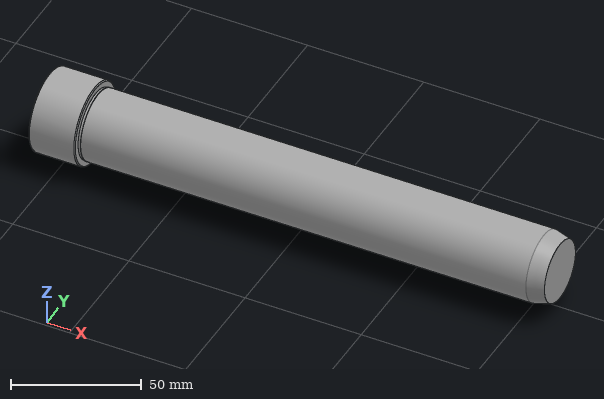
import cadquery as cq
import math

total_length = 220.0
head_diameter = 35.0
head_length = 20.0
head_edge_chamfer = 0.5
shank_diameter = 30.0
relief_depth = 0.2
relief_width = 1.0
tip_length = 7.0
tip_angle = 15.0

head_radius = head_diameter / 2
shank_radius = shank_diameter / 2
relief_radius = shank_radius - relief_depth
tip_radius = shank_radius - tip_length * math.tan(math.radians(tip_angle))

head_end = -total_length / 2
tip_end = total_length / 2
shoulder = head_end + head_length
relief_end = shoulder + relief_width

half_profile = (
    cq.Workplane("XY")
    .moveTo(head_end, 0)
    .lineTo(head_end, head_radius - head_edge_chamfer)
    .lineTo(head_end + head_edge_chamfer, head_radius)
    .lineTo(shoulder - head_edge_chamfer, head_radius)
    .lineTo(shoulder, head_radius - head_edge_chamfer)
    .lineTo(shoulder, relief_radius)
    .lineTo(relief_end, relief_radius)
    .lineTo(relief_end, shank_radius)
    .lineTo(tip_end - tip_length, shank_radius)
    .lineTo(tip_end, tip_radius)
    .lineTo(tip_end, 0)
    .close()
)

result = half_profile.revolve(360, (0, 0, 0), (1, 0, 0))